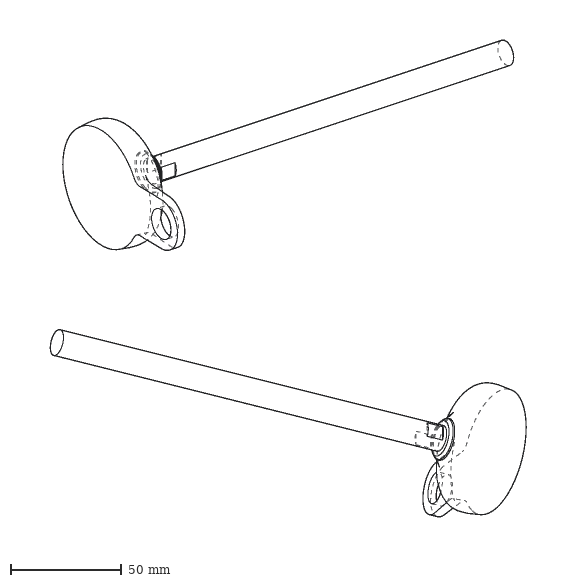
import cadquery as cq
import math

TOTAL_LENGTH = 228.0

BASE_RADIUS = 29.2
RIM_RADIUS = 60.0 / 2
RIM_BOTTOM = 6.2
RIM_TOP = 9.0
SHOULDER_ROUND = 7.3
SHOULDER_SLOPE = math.radians(26.5)
SKIRT_TOP_RADIUS = 16.2
BLEND_RADIUS = 6.4
NECK_SLOPE = math.radians(45)
LIP_BOTTOM = 26.2
LIP_MIDDLE = 27.0
FOOT_HEIGHT = 28.3
LIP_RADIUS = 9.5
LIP_TOP_RADIUS = 8.2

TAB_REACH = 45.5
TAB_END_RADIUS = 24.9 / 2
TAB_HOLE_RADIUS = 7.3
TAB_CORNER_RADIUS = 5.0
TAB_END_THICKNESS = 4.0
ROOT_SEARCH_MARGIN = 2.3
TAB_TIP = TAB_REACH + TAB_END_RADIUS
TAB_SLOPE_START = 20.0

ROD_RADIUS = 12.0 / 2
FLATS_START = 29.9
FLATS_LENGTH = 8.0
FLATS_HALF_WIDTH = 5.0


def make_foot_body():
    """Revolve the half profile of the round foot about the Y axis."""
    shoulder_radius = RIM_RADIUS - SHOULDER_ROUND * (1 - math.sin(SHOULDER_SLOPE))
    shoulder_height = RIM_TOP + SHOULDER_ROUND * math.cos(SHOULDER_SLOPE)
    skirt_height = shoulder_height + (shoulder_radius - SKIRT_TOP_RADIUS) * math.tan(SHOULDER_SLOPE)
    blend_radius = SKIRT_TOP_RADIUS - BLEND_RADIUS * (math.sin(NECK_SLOPE) - math.sin(SHOULDER_SLOPE))
    blend_height = skirt_height + BLEND_RADIUS * (math.cos(SHOULDER_SLOPE) - math.cos(NECK_SLOPE))
    neck_radius = blend_radius - (LIP_BOTTOM - blend_height) / math.tan(NECK_SLOPE)
    profile = (
        cq.Workplane("XY")
        .lineTo(BASE_RADIUS, 0)
        .lineTo(RIM_RADIUS, RIM_BOTTOM)
        .lineTo(RIM_RADIUS, RIM_TOP)
        .tangentArcPoint((shoulder_radius, shoulder_height), relative=False)
        .lineTo(SKIRT_TOP_RADIUS, skirt_height)
        .tangentArcPoint((blend_radius, blend_height), relative=False)
        .lineTo(neck_radius, LIP_BOTTOM)
        .lineTo(LIP_RADIUS, LIP_MIDDLE)
        .lineTo(LIP_TOP_RADIUS, FOOT_HEIGHT)
        .lineTo(0, FOOT_HEIGHT)
        .close()
    )
    return profile.revolve(360, (0, 0, 0), (0, 1, 0))


def make_tab():
    """Rounded tab with filleted roots and a sloping top face."""
    base_cone = (
        cq.Workplane("XY")
        .polyline([(0, 0), (BASE_RADIUS, 0), (RIM_RADIUS, RIM_BOTTOM), (0, RIM_BOTTOM)])
        .close()
        .revolve(360, (0, 0, 0), (0, 1, 0))
    )
    tab = (
        cq.Workplane("XZ")
        .moveTo(0, -TAB_END_RADIUS)
        .lineTo(TAB_REACH, -TAB_END_RADIUS)
        .threePointArc((TAB_TIP, 0), (TAB_REACH, TAB_END_RADIUS))
        .lineTo(0, TAB_END_RADIUS)
        .close()
        .extrude(-RIM_BOTTOM)
    )
    root_x = math.sqrt(RIM_RADIUS**2 - TAB_END_RADIUS**2)
    root_zone = cq.selectors.BoxSelector(
        (root_x - ROOT_SEARCH_MARGIN, 0, -RIM_RADIUS), (root_x + ROOT_SEARCH_MARGIN, RIM_BOTTOM, RIM_RADIUS)
    )
    tab = base_cone.union(tab).edges("(not #Y) and (not |X)").edges(root_zone)
    tab = tab.fillet(TAB_CORNER_RADIUS)
    slope_cutter = (
        cq.Workplane("XY")
        .polyline([(TAB_SLOPE_START, RIM_BOTTOM), (TAB_TIP, TAB_END_THICKNESS), (TAB_TIP, RIM_BOTTOM)])
        .close()
        .extrude(RIM_RADIUS, both=True)
    )
    return tab.cut(slope_cutter)


def make_foot():
    """Round foot and tab as one body, with the eye through the tab."""
    eye = (
        cq.Workplane("XZ")
        .center(TAB_REACH, 0)
        .circle(TAB_HOLE_RADIUS)
        .extrude(-RIM_BOTTOM)
    )
    return make_foot_body().union(make_tab()).cut(eye)


def make_rod():
    """Plain rod standing on the foot, with two flats facing -X and +X."""
    rod = (
        cq.Workplane("XZ", origin=(0, FOOT_HEIGHT, 0))
        .circle(ROD_RADIUS)
        .extrude(FOOT_HEIGHT - TOTAL_LENGTH)
    )
    for side in (-1, 1):
        flat_cutter = cq.Workplane("XY").box(ROD_RADIUS, FLATS_LENGTH, 2 * ROD_RADIUS).translate(
            (side * (FLATS_HALF_WIDTH + ROD_RADIUS / 2), FLATS_START + FLATS_LENGTH / 2, 0)
        )
        rod = rod.cut(flat_cutter)
    return rod


foot = make_foot()
rod = make_rod()
result = cq.Compound.makeCompound([foot.val(), rod.val()])